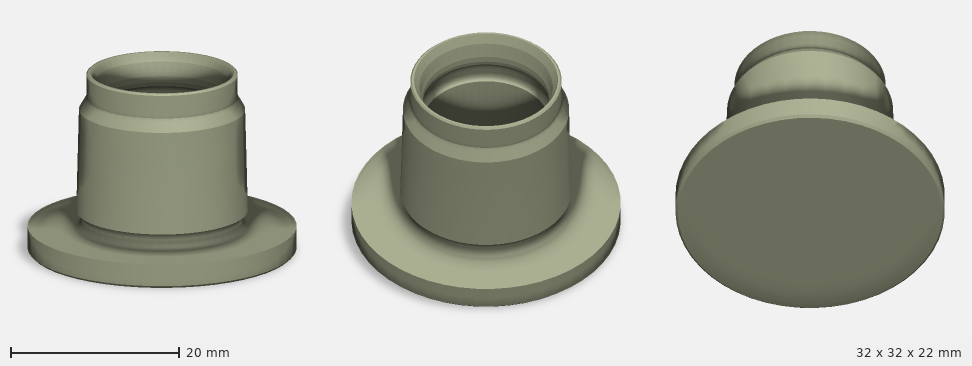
import cadquery as cq
import math

total_height = 22.0
flange_thickness = 3.0

flange_radius = 32.0 / 2
flange_chamfer = 0.3

waist_radius = 19.3 / 2
waist_fillet = 0.8
waist_straight = 0.4

body_top_radius = 9.88
body_bottom_radius = 10.2

spigot_radius = 18.0 / 2
spigot_length = 3.0
shoulder_angle = math.radians(30)
rim_chamfer = 0.2

mouth_radius = 8.55
lead_in_radius = 7.95
lead_in_angle = math.radians(30)
throat_angle = math.radians(15)

bore_radius = 15.0 / 2
relief_angle = math.radians(15)
relief_radius = 7.65
undercut_radius = 16.5 / 2
undercut_bottom = 15.5
undercut_height = 2.5
undercut_corner_radius = undercut_radius - bore_radius

floor_apex_height = flange_thickness
drill_point_half_angle = math.radians(59)

lower_left = math.radians(225)
lower_right = math.radians(-45)


def point_on_circle(center, radius, angle):
    return (center[0] + radius * math.cos(angle), center[1] + radius * math.sin(angle))


def make_outer_body():
    waist_bottom = flange_thickness + waist_fillet
    waist_top = waist_bottom + waist_straight
    fillet_center_radius = waist_radius + waist_fillet

    upper_center = (fillet_center_radius, waist_top)
    upper_end_angle = math.acos((body_bottom_radius - fillet_center_radius) / waist_fillet)
    upper_end = point_on_circle(upper_center, waist_fillet, upper_end_angle)
    upper_mid = point_on_circle(upper_center, waist_fillet, (math.pi + upper_end_angle) / 2)

    lower_center = (fillet_center_radius, waist_bottom)
    lower_mid = point_on_circle(lower_center, waist_fillet, lower_left)

    spigot_bottom = total_height - spigot_length
    body_top = spigot_bottom - (body_top_radius - spigot_radius) / math.tan(shoulder_angle)

    profile = (
        cq.Workplane("YZ")
        .lineTo(flange_radius - flange_chamfer, 0)
        .lineTo(flange_radius, flange_chamfer)
        .lineTo(flange_radius, flange_thickness)
        .lineTo(fillet_center_radius, flange_thickness)
        .threePointArc(lower_mid, (waist_radius, waist_bottom))
        .lineTo(waist_radius, waist_top)
        .threePointArc(upper_mid, upper_end)
        .lineTo(body_top_radius, body_top)
        .lineTo(spigot_radius, spigot_bottom)
        .lineTo(spigot_radius, total_height - rim_chamfer)
        .lineTo(spigot_radius - rim_chamfer, total_height)
        .lineTo(0, total_height)
        .close()
    )
    return profile.revolve(360, (0, 0, 0), (0, 1, 0))


def make_bore():
    lead_in_bottom = total_height - (mouth_radius - lead_in_radius) / math.tan(lead_in_angle)
    throat_bottom = lead_in_bottom - (lead_in_radius - bore_radius) / math.tan(throat_angle)
    floor_edge = floor_apex_height + bore_radius / math.tan(drill_point_half_angle)

    upper_center = (bore_radius, undercut_bottom + undercut_height - undercut_corner_radius)
    upper_start_angle = math.acos((relief_radius - bore_radius) / undercut_corner_radius)
    upper_start = point_on_circle(upper_center, undercut_corner_radius, upper_start_angle)
    upper_mid = point_on_circle(upper_center, undercut_corner_radius, upper_start_angle / 2)

    relief_top = upper_start[1] + (relief_radius - bore_radius) / math.tan(relief_angle)

    lower_center = (bore_radius, undercut_bottom + undercut_corner_radius)
    lower_mid = point_on_circle(lower_center, undercut_corner_radius, lower_right)

    profile = (
        cq.Workplane("YZ")
        .moveTo(0, total_height)
        .lineTo(mouth_radius, total_height)
        .lineTo(lead_in_radius, lead_in_bottom)
        .lineTo(bore_radius, throat_bottom)
        .lineTo(bore_radius, relief_top)
        .lineTo(*upper_start)
        .threePointArc(upper_mid, (undercut_radius, upper_center[1]))
        .lineTo(undercut_radius, lower_center[1])
        .threePointArc(lower_mid, (bore_radius, undercut_bottom))
        .lineTo(bore_radius, floor_edge)
        .lineTo(0, floor_apex_height)
        .close()
    )
    return profile.revolve(360, (0, 0, 0), (0, 1, 0))


result = make_outer_body().cut(make_bore())